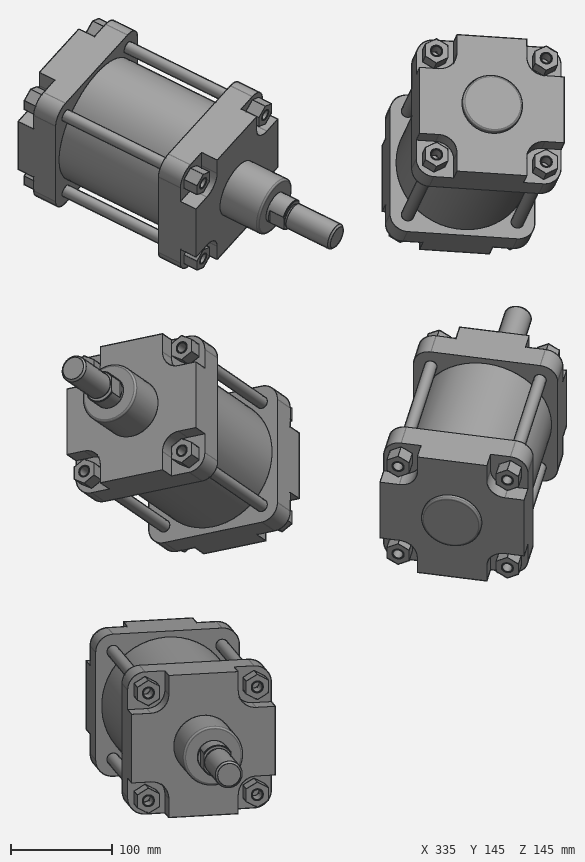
import cadquery as cq
import math


total_length = 335.0
boss_length = 5.5
cover_thickness = 44.5
barrel_length = 122.0
gland_length = 45.2

rear_cover_start = boss_length
barrel_start = rear_cover_start + cover_thickness
front_cover_start = barrel_start + barrel_length
front_cover_end = front_cover_start + cover_thickness
gland_end = front_cover_end + gland_length

cover_width = 145.0
tie_rod_offset = 55.0
cover_corner_radius = cover_width / 2 - tie_rod_offset
recess_width = 37.5
recess_depth = 18.5
recess_radius = 18.0
boss_diameter = 60.0
boss_fillet = 2.0

barrel_diameter = 133.0

tie_rod_diameter = 12.5
head_across_flats = 22.5
head_height = 4.6
bore_diameter = 10.0
counterbore_diameter = 12.0
counterbore_depth = 0.1

rod_diameter = 32.0
flat_width = 27.0
collar_length = 3.0
flats_length = 16.5
flats_start = gland_end + collar_length
shoulder_end = flats_start + flats_length
shoulder_chamfer = 0.7
neck_diameter = 23.8
neck_length = 2.7
stud_diameter = 27.0
stud_chamfer = 2.0


def cylinder(start, length, diameter):
    """Cylinder on the X axis."""
    return cq.Workplane("YZ", origin=(start, 0, 0)).circle(diameter / 2).extrude(length)


def tie_rod_centres():
    return [(y, z) for y in (-tie_rod_offset, tie_rod_offset) for z in (-tie_rod_offset, tie_rod_offset)]


def make_cover(inner_face, outward):
    """Square cover with corner recesses on its outer side; outward is -1 (rear) or 1 (front)."""
    outer_face = inner_face + outward * cover_thickness
    cover = (
        cq.Workplane("YZ", origin=(inner_face, 0, 0))
        .rect(cover_width, cover_width)
        .extrude(outward * cover_thickness)
        .edges("|X")
        .fillet(cover_corner_radius)
    )

    half_width = cover_width / 2
    corners = [(y, z) for y in (-half_width, half_width) for z in (-half_width, half_width)]
    recesses = (
        cq.Workplane("YZ", origin=(outer_face, 0, 0))
        .pushPoints(corners)
        .rect(2 * recess_width, 2 * recess_width)
        .extrude(-outward * recess_depth)
        .edges("|X")
        .fillet(recess_radius)
    )
    tie_rod_holes = (
        cq.Workplane("YZ", origin=(inner_face, 0, 0))
        .pushPoints(tie_rod_centres())
        .circle(tie_rod_diameter / 2)
        .extrude(outward * cover_thickness)
    )
    return cover.cut(recesses).cut(tie_rod_holes)


def make_rear_cover():
    """Rear cover with its rounded locating boss."""
    boss = cylinder(0, boss_length, boss_diameter).faces("<X").edges().fillet(boss_fillet)
    return make_cover(barrel_start, -1).union(boss)


def make_front_cover():
    """Front cover with the rounded gland that guides the piston rod."""
    gland = cylinder(front_cover_end, gland_length, boss_diameter).faces(">X").edges().fillet(boss_fillet)
    rod_hole = cylinder(front_cover_start, gland_end - front_cover_start, rod_diameter)
    return make_cover(front_cover_start, 1).union(gland).cut(rod_hole)


def make_barrel():
    return cylinder(barrel_start, barrel_length, barrel_diameter)


def make_piston_rod():
    """Rod from the inner face of the front cover, with wrench flats, conical neck and end stud."""
    rod_radius = rod_diameter / 2
    neck_radius = neck_diameter / 2
    stud_radius = stud_diameter / 2
    neck_end = shoulder_end + neck_length
    profile = [
        (front_cover_start, 0),
        (front_cover_start, rod_radius),
        (shoulder_end - shoulder_chamfer, rod_radius),
        (shoulder_end, rod_radius - shoulder_chamfer),
        (shoulder_end, neck_radius),
        (neck_end, stud_radius),
        (total_length - stud_chamfer, stud_radius),
        (total_length, stud_radius - stud_chamfer),
        (total_length, 0),
    ]
    rod = cq.Workplane("XY").polyline(profile).close().revolve(360, (0, 0, 0), (1, 0, 0))

    cut_thickness = (rod_diameter - flat_width) / 2
    cut_offset = (rod_diameter + flat_width) / 4
    flat_cuts = (
        cq.Workplane("YZ", origin=(flats_start, 0, 0))
        .pushPoints([(-cut_offset, 0), (cut_offset, 0)])
        .rect(cut_thickness, rod_diameter)
        .extrude(flats_length)
    )
    return rod.cut(flat_cuts)


def make_tie_rod(y, z):
    """Tie rod between the two recess floors, with a counterbored hexagonal head at each end."""
    rear_seat = rear_cover_start + recess_depth
    front_seat = front_cover_end - recess_depth
    tie_rod = (
        cq.Workplane("YZ", origin=(rear_seat, y, z))
        .circle(tie_rod_diameter / 2)
        .extrude(front_seat - rear_seat)
    )
    corner_diameter = head_across_flats / math.cos(math.pi / 6)
    for seat, outward in ((rear_seat, -3.5), (front_seat, 3.5)):
        head = (
            cq.Workplane("YZ", origin=(seat, y, z))
            .transformed(rotate=(0, 0, 90))
            .polygon(6, corner_diameter)
            .circle(bore_diameter / 2)
            .extrude(outward * head_height)
        )
        counterbore = (
            cq.Workplane("YZ", origin=(seat + outward * head_height, y, z))
            .circle(counterbore_diameter / 2)
            .extrude(-outward * counterbore_depth)
        )
        tie_rod = tie_rod.union(head.cut(counterbore))
    return tie_rod


rear_cover = make_rear_cover()
front_cover = make_front_cover()
barrel = make_barrel()
piston_rod = make_piston_rod()
tie_rods = [make_tie_rod(y, z) for y, z in tie_rod_centres()]

result = cq.Compound.makeCompound([
    rear_cover.val(),
    front_cover.val(),
    barrel.val(),
    piston_rod.val(),
    *[tie_rod.val() for tie_rod in tie_rods],
])